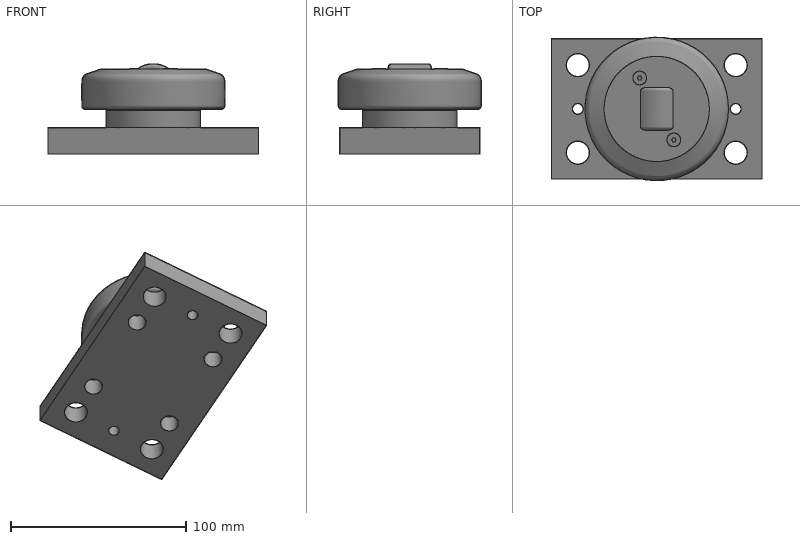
import cadquery as cq

PLATE_LENGTH = 120.0
PLATE_WIDTH = 80.0
PLATE_HEIGHT = 15.0
HOLE_X = 45.0
HOLE_Y = 25.0
CORNER_HOLE_DIAMETER = 13.0
DOWEL_HOLE_DIAMETER = 6.0
INNER_HOLE_DIAMETER = 10.1
INNER_HOLE_X = HOLE_Y

NECK_DIAMETER = 54.0
NECK_TOP = 25.0
COLLAR_DIAMETER = 52.0

ROLLER_BOTTOM = 25.5
ROLLER_TOP = 48.5
ROLLER_RADIUS = 40.9
CROWN_DROP = 0.1
RIM_BOTTOM = 27.6
RIM_TOP = 41.6
SHOULDER_RADIUS = 38.4
SHOULDER_HEIGHT = 45.6
TOP_FACE_RADIUS = 30.0

PAD_WIDTH = 18.5
PAD_LENGTH = 24.6
PAD_TOP = 51.5
PAD_EDGE_RADIUS = 2.2

SCREW_X = 9.7
SCREW_Y = 17.6
SCREW_HEAD_DIAMETER = 7.8
SCREW_HEAD_RISE = 0.2
SOCKET_SIDES = 6
SOCKET_DIAMETER = 2.5
SOCKET_DEPTH = 0.6


def make_plate():
    plate = cq.Workplane("XY").box(PLATE_LENGTH, PLATE_WIDTH, PLATE_HEIGHT, centered=(True, True, False))
    hole_patterns = [
        (CORNER_HOLE_DIAMETER, [(x, y) for x in (-HOLE_X, HOLE_X) for y in (-HOLE_Y, HOLE_Y)]),
        (DOWEL_HOLE_DIAMETER, [(-HOLE_X, 0), (HOLE_X, 0)]),
        (INNER_HOLE_DIAMETER, [(x, y) for x in (-INNER_HOLE_X, INNER_HOLE_X) for y in (-HOLE_Y, HOLE_Y)]),
    ]
    for diameter, points in hole_patterns:
        holes = cq.Workplane("XY").pushPoints(points).circle(diameter / 2).extrude(PLATE_HEIGHT)
        plate = plate.cut(holes)
    return plate


def make_neck():
    neck = cq.Workplane("XY").workplane(offset=PLATE_HEIGHT).circle(NECK_DIAMETER / 2)
    neck = neck.extrude(NECK_TOP - PLATE_HEIGHT)
    collar = cq.Workplane("XY").workplane(offset=NECK_TOP).circle(COLLAR_DIAMETER / 2)
    return neck.union(collar.extrude(ROLLER_BOTTOM - NECK_TOP))


def make_roller():
    rim_edge = ROLLER_RADIUS - CROWN_DROP
    bottom_fillet = RIM_BOTTOM - ROLLER_BOTTOM
    profile = (
        cq.Workplane("XZ")
        .moveTo(0, ROLLER_BOTTOM)
        .lineTo(rim_edge - bottom_fillet, ROLLER_BOTTOM)
        .tangentArcPoint((rim_edge, RIM_BOTTOM), relative=False)
        .threePointArc((ROLLER_RADIUS, (RIM_BOTTOM + RIM_TOP) / 2), (rim_edge, RIM_TOP))
        .tangentArcPoint((SHOULDER_RADIUS, SHOULDER_HEIGHT), relative=False)
        .lineTo(TOP_FACE_RADIUS, ROLLER_TOP)
        .lineTo(0, ROLLER_TOP)
        .close()
    )
    return profile.revolve(360, (0, 0, 0), (0, 1, 0))


def make_pad():
    rise = PAD_TOP - ROLLER_TOP
    radius = ((PAD_WIDTH / 2) ** 2 + rise ** 2) / (2 * rise)
    cylinder = (
        cq.Workplane("XZ")
        .center(0, PAD_TOP - radius)
        .circle(radius)
        .extrude(PAD_LENGTH / 2, both=True)
        .edges()
        .fillet(PAD_EDGE_RADIUS)
    )
    cap = (
        cq.Workplane("XY")
        .workplane(offset=ROLLER_TOP)
        .rect(PAD_WIDTH, PAD_LENGTH)
        .extrude(rise)
    )
    return cylinder.intersect(cap)


def add_screws(body):
    points = [(-SCREW_X, SCREW_Y), (SCREW_X, -SCREW_Y)]
    heads = cq.Workplane("XY").workplane(offset=ROLLER_TOP).pushPoints(points)
    heads = heads.circle(SCREW_HEAD_DIAMETER / 2).extrude(SCREW_HEAD_RISE)
    sockets = cq.Workplane("XY").workplane(offset=ROLLER_TOP + SCREW_HEAD_RISE).pushPoints(points)
    sockets = sockets.polygon(SOCKET_SIDES, SOCKET_DIAMETER).extrude(-SOCKET_DEPTH)
    return body.union(heads).cut(sockets)


body = make_plate().union(make_neck()).union(make_roller()).union(make_pad())
result = add_screws(body)